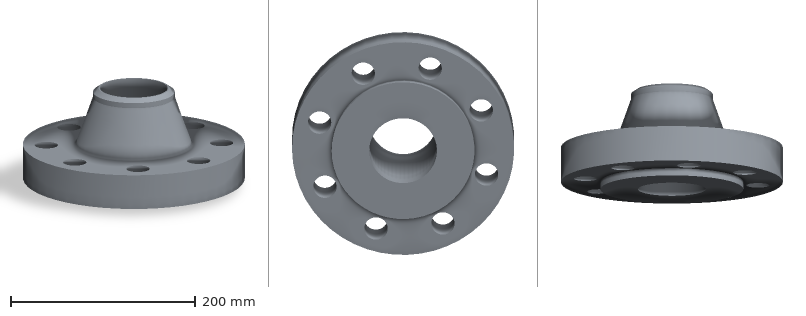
import cadquery as cq

flange_diameter = 241.2
flange_thickness = 38.0
face_diameter = 155.0
face_height = 8.0

hub_height = 63.5
hub_base_diameter = 127.0
neck_diameter = 88.8
neck_height = 10.0
bevel_height = 4.0
land_width = 1.7
root_fillet_radius = 3.1
bore_diameter = 73.5

bolt_count = 8
bolt_circle_diameter = 190.5
bolt_hole_diameter = 25.3

flange_bottom = face_height
flange_top = flange_bottom + flange_thickness
total_height = flange_top + hub_height
land_diameter = bore_diameter + 2 * land_width


def disc(diameter, height, bottom):
    """Solid cylinder about Z that starts at the given height."""
    return cq.Workplane("XY").workplane(offset=bottom).circle(diameter / 2).extrude(height)


def hub():
    """Cone, straight neck and bevel, revolved about Z."""
    profile = (
        cq.Workplane("XZ")
        .moveTo(0, flange_top)
        .lineTo(hub_base_diameter / 2, flange_top)
        .lineTo(neck_diameter / 2, total_height - neck_height)
        .lineTo(neck_diameter / 2, total_height - bevel_height)
        .lineTo(land_diameter / 2, total_height)
        .lineTo(0, total_height)
        .close()
    )
    return profile.revolve(360, (0, 0, 0), (0, 1, 0))


def bolt_holes():
    """Cutters for the ring of bolt holes through the flange."""
    return (
        cq.Workplane("XY")
        .workplane(offset=flange_bottom)
        .polarArray(bolt_circle_diameter / 2, 0, 360, bolt_count)
        .circle(bolt_hole_diameter / 2)
        .extrude(flange_thickness)
    )


raised_face = disc(face_diameter, face_height, 0)
flange = disc(flange_diameter, flange_thickness, flange_bottom)
body = raised_face.union(flange).union(hub())

flange_top_face = body.faces("%PLANE and (not <Z) and (not >Z)").faces(">Z")
hub_root = flange_top_face.edges(cq.selectors.RadiusNthSelector(0))
body = hub_root.fillet(root_fillet_radius)

bore = disc(bore_diameter, total_height, 0)
result = body.cut(bolt_holes()).cut(bore)